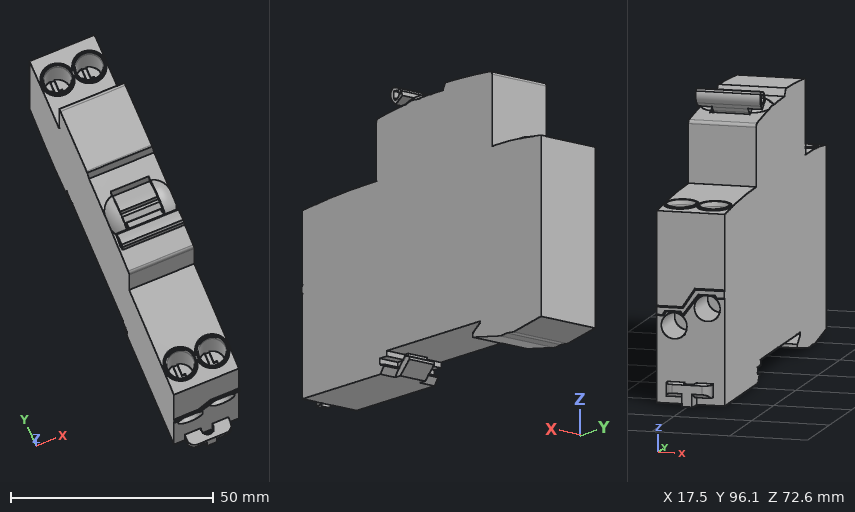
import cadquery as cq


WIDTH = 17.5
HALF_WIDTH = WIDTH / 2
DEPTH = 92.6
TOTAL_HEIGHT = 72.61

FRONT_FACE_TOP = 48.4
FRONT_SHOULDER_TOP = 49.85
REAR_FACE_TOP = 48.25
REAR_SHOULDER_TOP = 49.4
SHOULDER_BULGE = 0.4

HEAD_FRONT = 28.65
HEAD_REAR = 73.6
HEAD_FRONT_TOP = 65.7
HEAD_REAR_TOP = 68.7
HEAD_CORNER_RADIUS = 0.9
HEAD_BULGE = 0.15
RIDGE_REAR = 56.0
RIDGE_FRONT = 55.5
RIDGE_SLOPE_RISE = 0.1
RIDGE_TOP = 69.65
DECK_REAR = 54.35
DECK_REAR_TOP = 67.75
DECK_BULGE = 0.55

RAIL_FLOOR = 5.5
RAIL_REAR = 68.8
RAIL_FRONT = 32.8
REAR_HOOK_STEP = 0.5
REAR_HOOK_TIP = 66.1
REAR_HOOK_TOP = 3.0
REAR_HOOK_BOTTOM = 2.0
REAR_FACE_BOTTOM = 1.8
FOOT_FRONT = 77.0
FOOT_REAR = 82.0
FOOT_BOTTOM = 0.05
FOOT_HOLLOW = 0.3
CLIP_POCKET_FRONT = 30.1
CLIP_POCKET_TOP = 4.1
CLIP_POCKET_BOTTOM = 2.3
CLIP_POCKET_CHAMFER = 0.4
CLIP_POCKET_LIP = 31.65
CLIP_POCKET_LIP_BOTTOM = 1.9
UNDERSIDE_REAR = 30.3

TERMINAL_X = 4.25
SCREW_Y = (6.5, 85.3)
WELL_RADIUS = 3.45
WELL_FLOOR = 36.0
WELL_MOUTH_RADIUS = 3.8
WELL_MOUTH_BOTTOM = 48.3
WELL_MOUTH_TOP = 49.5
COLLAR_STEPS = ((4.3, 0.12), (3.95, 0.28))
SCREW_SLOT_WIDTH = 1.15
SCREW_CROSS_LENGTH = 2.9
SCREW_CROSS_WIDTH = 0.85
SCREW_RECESS_DEPTH = 1.0

WIRE_HOLE_RADIUS = 3.3
WIRE_HOLE_DEPTH = 12.0
LEFT_WIRE_Z = 19.6
RIGHT_WIRE_Z = 24.45
BAND_HEIGHT = 0.3
BAND_TAPER = 45
LOW_BAND_TOP = 24.5
LOW_BAND_BOTTOM = 22.0
LOW_BAND_ARCH = 23.1
HIGH_BAND_TOP = 29.3
HIGH_BAND_BOTTOM = 26.95
HIGH_BAND_ARCH = 27.6
BAND_RISE_START = -2.1
BAND_RISE_END = 1.1
LOW_ARCH_X = (-7.0, -6.3, -2.7, -2.0)
HIGH_ARCH_X = (2.2, 6.1, 6.6)
BAND_OVERHANG = 1.0

TOGGLE_Y = 42.85
TOGGLE_Z = 60.8
DOME_RADIUS = 8.7
DOME_EDGE_RADIUS = 5.5
DOME_WIDTH = 20.2
SLOT_WIDTH = 10.2
SLOT_FRONT = 35.4
SLOT_REAR = 49.3
SLOT_FLOOR_REAR = 48.1
SLOT_FLOOR = 63.0
DRUM_RADIUS = 7.2
DRUM_TOP = TOGGLE_Z + DRUM_RADIUS
DRUM_STEP_Y = 43.6
DRUM_GROOVE_Y = 43.1
DRUM_GROOVE_DEPTH = 0.9
DRUM_RIB_Y = 42.2
DRUM_RIB_DROP = 0.3
CLEARANCE = 1.0
STEM_WIDTH = 9.3
STEM_REAR = (40.4, 68.0)
STEM_ROOT = (39.0, 64.5)
STEM_FRONT = (36.7, 66.9)
BAR_WIDTH = 16.6
BAR_BASE_REAR = (38.3, 69.85)
BAR_BASE_FRONT = (35.6, 68.0)
BAR_REAR = (37.7, 71.2)
BAR_REAR_BULGE = (36.45, 72.2)
BAR_TOP = (34.55, TOTAL_HEIGHT)
BAR_BEVEL_END = (33.95, 72.1)
BAR_FRONT_BULGE = (33.7, 70.5)
BAR_FRONT_END = (34.4, 69.1)
BAR_RECESS_OUTLINE = (
    (37.25, 70.5),
    (36.4, 71.6),
    (34.95, 71.65),
    (34.95, 69.9),
    (35.4, 69.3),
    (36.3, 69.4),
)
BAR_RECESS_DEPTH = 2.0

NOSE_WIDTH = 8.0
NOSE_BLOCK_WIDTH = 6.0
NOSE_OUTLINE = (
    (34.2, 4.75),
    (34.9, 4.6),
    (35.8, 4.2),
    (35.8, 3.5),
    (32.3, 0),
    (29.5, 0),
    (29.5, 1.0),
    (31.2, 1.5),
)
NOSE_BLOCK_REAR = 34.2
NOSE_BLOCK_SLOPE = 2.3
BLOCK_OVERLAP = 0.1
TAB_REACH = 3.5
TAB_WIDTH = 11.7
TAB_BOTTOM = 2.2
TAB_CORNER_RADIUS = 2.0
TAB_BEVEL_START = 2.0
TAB_BEVEL_HEIGHT = 1.1
TAB_NOTCH_RADIUS = 1.6
TAB_NOTCH_Y = -0.6
GRIP_REAR = -1.35
GRIP_REAR_WIDTH = 3.8
GRIP_FRONT_WIDTH = 2.6


def along_x(outline, width):
    """Extrude a closed Y-Z outline symmetrically about X = 0."""
    return outline.extrude(width / 2, both=True)


def side_polygon(points, width):
    return along_x(cq.Workplane("YZ").polyline(points).close(), width)


def x_cylinder(y, z, radius, width):
    return along_x(cq.Workplane("YZ").center(y, z).circle(radius), width)


def block(x, y, z):
    """Box spanning the given (low, high) pairs."""
    size = [high - low for low, high in (x, y, z)]
    return cq.Workplane("XY").box(*size, centered=False).translate((x[0], y[0], z[0]))


def arc_middle(start, end, bulge):
    return ((start[0] + end[0]) / 2, (start[1] + end[1]) / 2 + bulge)


def make_housing():
    front_low = (0, FRONT_FACE_TOP)
    front_high = (HEAD_FRONT, FRONT_SHOULDER_TOP)
    deck_front = (HEAD_FRONT, HEAD_FRONT_TOP)
    deck_rear = (DECK_REAR, DECK_REAR_TOP)
    rear_high = (HEAD_REAR, REAR_SHOULDER_TOP)
    rear_low = (DEPTH, REAR_FACE_TOP)
    ridge_rear = (RIDGE_REAR, RIDGE_TOP - RIDGE_SLOPE_RISE)
    head_rear = (HEAD_REAR, HEAD_REAR_TOP)
    outline = (
        cq.Workplane("YZ")
        .moveTo(0, 0)
        .lineTo(*front_low)
        .threePointArc(arc_middle(front_low, front_high, SHOULDER_BULGE), front_high)
        .lineTo(*deck_front)
        .threePointArc(arc_middle(deck_front, deck_rear, DECK_BULGE), deck_rear)
        .lineTo(RIDGE_FRONT, RIDGE_TOP)
        .lineTo(*ridge_rear)
        .threePointArc(arc_middle(ridge_rear, head_rear, HEAD_BULGE), head_rear)
        .lineTo(*rear_high)
        .threePointArc(arc_middle(rear_high, rear_low, SHOULDER_BULGE), rear_low)
        .lineTo(DEPTH, REAR_FACE_BOTTOM)
        .lineTo(FOOT_REAR, FOOT_BOTTOM)
        .lineTo((FOOT_FRONT + FOOT_REAR) / 2, FOOT_HOLLOW)
        .lineTo(FOOT_FRONT, FOOT_BOTTOM)
        .lineTo(REAR_HOOK_TIP, REAR_HOOK_BOTTOM)
        .lineTo(REAR_HOOK_TIP, REAR_HOOK_TOP)
        .lineTo(RAIL_REAR, RAIL_FLOOR - REAR_HOOK_STEP)
        .lineTo(RAIL_REAR, RAIL_FLOOR)
        .lineTo(RAIL_FRONT, RAIL_FLOOR)
        .lineTo(RAIL_FRONT, CLIP_POCKET_TOP)
        .lineTo(CLIP_POCKET_FRONT, CLIP_POCKET_TOP)
        .lineTo(CLIP_POCKET_FRONT, CLIP_POCKET_BOTTOM + CLIP_POCKET_CHAMFER)
        .lineTo(CLIP_POCKET_FRONT + CLIP_POCKET_CHAMFER, CLIP_POCKET_BOTTOM)
        .lineTo(CLIP_POCKET_LIP, CLIP_POCKET_BOTTOM)
        .lineTo(CLIP_POCKET_LIP, CLIP_POCKET_LIP_BOTTOM)
        .lineTo(UNDERSIDE_REAR, 0)
        .close()
    )
    housing = along_x(outline, WIDTH)
    for y, z in (deck_front, head_rear):
        corner = cq.selectors.NearestToPointSelector((0, y, z))
        housing = housing.edges(corner).fillet(HEAD_CORNER_RADIUS)
    return housing


def upright_cylinder(x, y, radius, low, high):
    return cq.Workplane("XY", origin=(x, y, low)).circle(radius).extrude(high - low)


def add_collar(body, housing, x, y):
    """Stepped collar that follows the slope of the shoulder."""
    for radius, height in COLLAR_STEPS:
        column = upright_cylinder(x, y, radius, WELL_FLOOR, HEAD_FRONT_TOP)
        body = body.union(column.intersect(housing.translate((0, 0, height))))
    return body


def cut_screw_well(body, x, y):
    """Access well with a screw head, crossed by its slots, at the bottom."""
    recess_floor = WELL_FLOOR - SCREW_RECESS_DEPTH
    well = upright_cylinder(x, y, WELL_RADIUS, WELL_FLOOR, HEAD_FRONT_TOP)
    mouth_height = WELL_MOUTH_TOP - WELL_MOUTH_BOTTOM
    mouth = cq.Workplane(
        cq.Solid.makeCone(WELL_RADIUS, WELL_MOUTH_RADIUS, mouth_height, cq.Vector(x, y, WELL_MOUTH_BOTTOM))
    )
    recess = cq.Workplane("XY", origin=(x, y, recess_floor))
    slot = recess.rect(SCREW_SLOT_WIDTH, 2 * WELL_RADIUS).extrude(SCREW_RECESS_DEPTH)
    slot = slot.intersect(upright_cylinder(x, y, WELL_RADIUS, recess_floor, WELL_FLOOR))
    cross = recess.rect(SCREW_CROSS_LENGTH, SCREW_CROSS_WIDTH).extrude(SCREW_RECESS_DEPTH)
    return body.cut(well).cut(mouth).cut(slot).cut(cross)


def add_screw_terminals(housing):
    places = [(x, y) for x in (-TERMINAL_X, TERMINAL_X) for y in SCREW_Y]
    body = housing
    for x, y in places:
        body = add_collar(body, housing, x, y)
    for x, y in places:
        body = cut_screw_well(body, x, y)
    return body


def make_band():
    edge = HALF_WIDTH + BAND_OVERHANG
    outline = [
        (-edge, LOW_BAND_TOP),
        (BAND_RISE_START, LOW_BAND_TOP),
        (BAND_RISE_END, HIGH_BAND_TOP),
        (edge, HIGH_BAND_TOP),
        (edge, HIGH_BAND_BOTTOM),
        (HIGH_ARCH_X[2], HIGH_BAND_BOTTOM),
        (HIGH_ARCH_X[1], HIGH_BAND_ARCH),
        (HIGH_ARCH_X[0], HIGH_BAND_ARCH),
        (LOW_ARCH_X[3], LOW_BAND_BOTTOM),
        (LOW_ARCH_X[2], LOW_BAND_ARCH),
        (LOW_ARCH_X[1], LOW_BAND_ARCH),
        (LOW_ARCH_X[0], LOW_BAND_BOTTOM),
        (-edge, LOW_BAND_BOTTOM),
    ]
    band = cq.Workplane("XZ").polyline(outline).close().extrude(BAND_HEIGHT, taper=BAND_TAPER)
    return band.intersect(block((-HALF_WIDTH, HALF_WIDTH), (-BAND_HEIGHT, 0), (0, FRONT_FACE_TOP)))


def cut_wire_entries(body):
    for x, z in ((-TERMINAL_X, LEFT_WIRE_Z), (TERMINAL_X, RIGHT_WIRE_Z)):
        hole = cq.Workplane("XZ").center(x, z).circle(WIRE_HOLE_RADIUS).extrude(-WIRE_HOLE_DEPTH)
        body = body.cut(hole)
    return body


def make_dome():
    dome = x_cylinder(TOGGLE_Y, TOGGLE_Z, DOME_RADIUS, DOME_WIDTH)
    dome = dome.edges("%CIRCLE").fillet(DOME_EDGE_RADIUS)
    return dome.intersect(x_cylinder(TOGGLE_Y, TOGGLE_Z, DOME_RADIUS + CLEARANCE, WIDTH))


def make_toggle_slot():
    return side_polygon(
        [
            (SLOT_FRONT, SLOT_FLOOR),
            (SLOT_FRONT, TOTAL_HEIGHT),
            (SLOT_REAR, TOTAL_HEIGHT),
            (SLOT_REAR, DECK_REAR_TOP),
            (SLOT_FLOOR_REAR, SLOT_FLOOR),
        ],
        SLOT_WIDTH,
    )


def make_drum():
    """Round toggle hub with a groove and a rib behind the stem."""
    drum = x_cylinder(TOGGLE_Y, TOGGLE_Z, DRUM_RADIUS, SLOT_WIDTH)
    relief = side_polygon(
        [
            (DRUM_STEP_Y, DRUM_TOP + CLEARANCE),
            (DRUM_STEP_Y, DRUM_TOP),
            (DRUM_GROOVE_Y, DRUM_TOP - DRUM_GROOVE_DEPTH),
            (DRUM_RIB_Y, DRUM_TOP - DRUM_RIB_DROP),
            (STEM_REAR[0], DRUM_TOP - DRUM_GROOVE_DEPTH),
            (STEM_REAR[0], DRUM_TOP + CLEARANCE),
        ],
        SLOT_WIDTH,
    )
    return drum.cut(relief)


def make_bar():
    """Grip bar of teardrop section with one flat and a recess in each end."""
    outline = (
        cq.Workplane("YZ")
        .moveTo(*BAR_BASE_FRONT)
        .lineTo(*BAR_BASE_REAR)
        .lineTo(*BAR_REAR)
        .threePointArc(BAR_REAR_BULGE, BAR_TOP)
        .lineTo(*BAR_BEVEL_END)
        .threePointArc(BAR_FRONT_BULGE, BAR_FRONT_END)
        .close()
    )
    recesses = side_polygon(BAR_RECESS_OUTLINE, BAR_WIDTH)
    core = side_polygon(BAR_RECESS_OUTLINE, BAR_WIDTH - 2 * BAR_RECESS_DEPTH)
    return along_x(outline, BAR_WIDTH).cut(recesses.cut(core))


def add_toggle(body):
    stem = side_polygon([STEM_REAR, BAR_BASE_REAR, BAR_BASE_FRONT, STEM_FRONT, STEM_ROOT], STEM_WIDTH)
    body = body.union(make_dome()).cut(make_toggle_slot())
    return body.union(make_drum()).union(stem).union(make_bar())


def make_clip_nose():
    """Sloping hook under the rail, backed by a block that fills the clip pocket."""
    block_bottom = CLIP_POCKET_BOTTOM - BLOCK_OVERLAP
    block_top = RAIL_FLOOR + BLOCK_OVERLAP
    pocket_top = CLIP_POCKET_TOP + BLOCK_OVERLAP
    backing = side_polygon(
        [
            (NOSE_BLOCK_REAR, block_top),
            (RAIL_FRONT - BLOCK_OVERLAP, block_top),
            (RAIL_FRONT - BLOCK_OVERLAP, pocket_top),
            (CLIP_POCKET_FRONT - BLOCK_OVERLAP, pocket_top),
            (CLIP_POCKET_FRONT - BLOCK_OVERLAP, block_bottom),
            (NOSE_BLOCK_REAR - NOSE_BLOCK_SLOPE, block_bottom),
            (NOSE_BLOCK_REAR, block_bottom + NOSE_BLOCK_SLOPE),
        ],
        NOSE_BLOCK_WIDTH,
    )
    return side_polygon(NOSE_OUTLINE, NOSE_WIDTH).union(backing)


def make_clip_tab():
    half = TAB_WIDTH / 2
    tab = block((-half, half), (-TAB_REACH, 0), (TAB_BOTTOM, RAIL_FLOOR))
    tab = tab.edges("|Z and <Y").fillet(TAB_CORNER_RADIUS)
    bevel = side_polygon(
        [
            (-TAB_BEVEL_START, TAB_BOTTOM),
            (-TAB_REACH, TAB_BOTTOM + TAB_BEVEL_HEIGHT),
            (-TAB_REACH - CLEARANCE, TAB_BOTTOM),
        ],
        TAB_WIDTH,
    )
    grip_outline = [
        (-GRIP_REAR_WIDTH / 2, GRIP_REAR),
        (GRIP_REAR_WIDTH / 2, GRIP_REAR),
        (GRIP_FRONT_WIDTH / 2, -TAB_REACH),
        (-GRIP_FRONT_WIDTH / 2, -TAB_REACH),
    ]
    grip = cq.Workplane("XY").polyline(grip_outline).close().extrude(RAIL_FLOOR)
    notch = cq.Workplane("XY").center(0, TAB_NOTCH_Y).circle(TAB_NOTCH_RADIUS).extrude(RAIL_FLOOR)
    notch = notch.intersect(block((-half, half), (-TAB_REACH, 0), (0, RAIL_FLOOR)))
    return tab.cut(bevel).union(grip).cut(notch)


result = add_screw_terminals(make_housing())
result = cut_wire_entries(result.union(make_band()))
result = add_toggle(result)
result = result.union(make_clip_nose()).union(make_clip_tab())